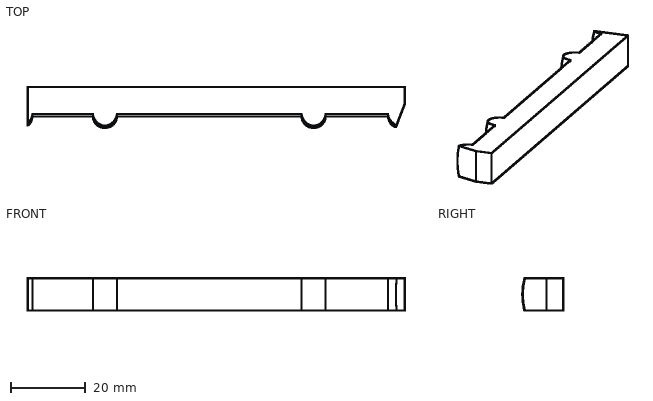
import cadquery as cq

length = 100.9
total_depth = 11.0
height = 8.7

bar_depth = 8.0
bulge = 0.6
barrel_radius = ((height / 2) ** 2 + bulge**2) / (2 * bulge)

lobe_radius = 3.2
lobe_centers = [-1.9, 20.7, 76.5, 99.6]

slant_start_depth = 4.5
slant_tip_x = 98.5
slant_tip_depth = 10.8


def bar_blank():
    """Box that bounds the bar, with the slanted +X end."""
    slant_slope = (length - slant_tip_x) / (slant_tip_depth - slant_start_depth)
    slant_end_x = length - slant_slope * (total_depth - slant_start_depth)
    return (
        cq.Workplane("XY")
        .workplane(offset=-height / 2)
        .lineTo(length, 0)
        .lineTo(length, -slant_start_depth)
        .lineTo(slant_end_x, -total_depth)
        .lineTo(0, -total_depth)
        .close()
        .extrude(height)
    )


def barrelled_front():
    """Mid-height front outline turned about an X-parallel axis, giving the bowed front."""
    axis_y = barrel_radius - total_depth
    lobe_y = lobe_radius - total_depth
    axis_distance = axis_y - lobe_y

    barrel = (
        cq.Workplane("YZ", origin=(0, axis_y, 0))
        .circle(axis_y + bar_depth)
        .extrude(length)
    )
    for x in lobe_centers:
        lobe = (
            cq.Workplane("XY", origin=(x, lobe_y, 0))
            .circle(lobe_radius)
            .revolve(360, (0, axis_distance), (1, axis_distance))
        )
        barrel = barrel.union(lobe)
    return barrel


result = bar_blank().intersect(barrelled_front())